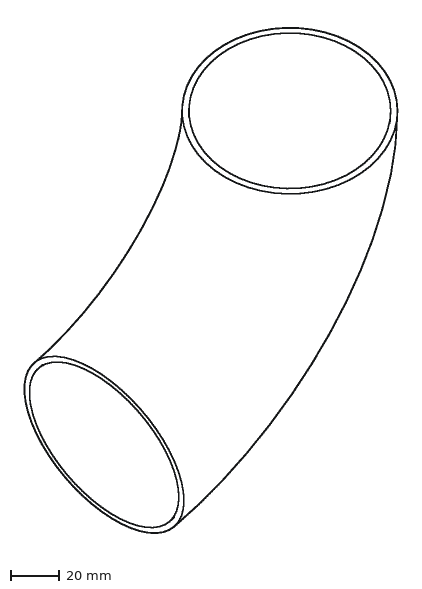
import cadquery as cq

outer_reach = 158.5
pipe_diameter = 88.9
wall_thickness = 2.9
bend_angle = 90.0

bend_radius = outer_reach - pipe_diameter / 2
bore_diameter = pipe_diameter - 2 * wall_thickness


def make_elbow():
    """Sweep the pipe ring about the bend axis, which runs along X through the origin."""
    ring = (
        cq.Workplane("XZ")
        .center(0, -bend_radius)
        .circle(pipe_diameter / 2)
        .circle(bore_diameter / 2)
    )
    axis_start = (0, bend_radius)
    axis_end = (1, bend_radius)
    return ring.revolve(bend_angle, axis_start, axis_end)


result = make_elbow()